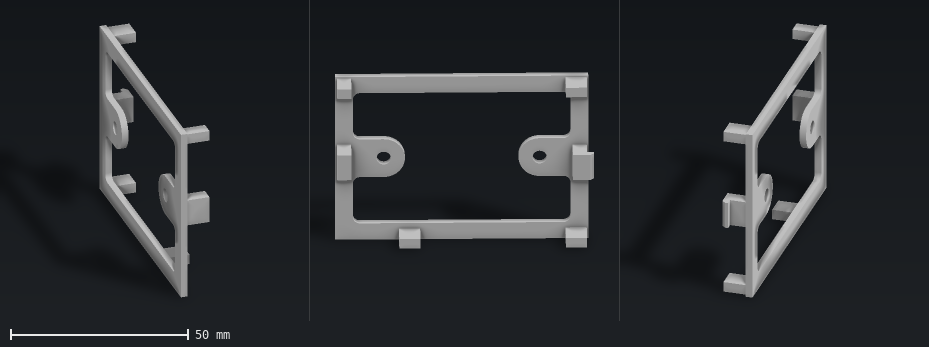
import cadquery as cq

overall_length = 73.0
overall_depth = 8.7
plate_height = 51.5
plate_thickness = 2.0
hook_overhang = 1.5
plate_length = overall_length - hook_overhang

side_rail = 5.05
top_rail = 5.1
corner_radius = 2.0
ear_radius = 6.0
ear_hole_diameter = 4.0
ear_hole_spacing = 44.0

post_length = overall_depth - plate_thickness
post_inset = 0.45
post_width = 6.0
narrow_post_width = 4.0
post_height = 3.0
bottom_post_pitch = 47.0
right_post_gap = 0.5
right_block_rise = 0.45

hook_height = 7.9
hook_thickness = 2.0
hook_chamfer = 1.0

left_edge = -plate_length / 2
left_post_x = left_edge + post_inset
right_post_x = plate_length / 2 - right_post_gap - narrow_post_width
post_level = plate_height / 2 - post_inset - post_height / 2


def plate_slab(length, height, center_x=0):
    """Slab as thick as the plate, centred on Z = 0."""
    return (
        cq.Workplane("XY")
        .box(length, plate_thickness, height, centered=(True, False, True))
        .translate((center_x, 0, 0))
    )


def ear_cylinder(diameter, center_x):
    """Cylinder through the plate thickness at the height of the ears."""
    return (
        cq.Workplane("XZ", origin=(center_x, 0, 0))
        .circle(diameter / 2)
        .extrude(-plate_thickness)
    )


def post(left_x, width, height, center_z):
    """Rectangular post standing on the back face of the plate."""
    return (
        cq.Workplane("XY")
        .box(width, post_length, height, centered=(False, False, True))
        .translate((left_x, plate_thickness, center_z))
    )


def make_plate():
    """Frame with one ear reaching in from each side."""
    window_length = plate_length - 2 * side_rail
    window = plate_slab(window_length, plate_height - 2 * top_rail)
    ear_length = (window_length - ear_hole_spacing) / 2
    for side in (-1, 1):
        hole_x = side * ear_hole_spacing / 2
        arm_x = hole_x + side * ear_length / 2
        window = window.cut(plate_slab(ear_length, 2 * ear_radius, arm_x))

    window = window.edges("|Y").edges("<X or >X").fillet(corner_radius)

    plate = plate_slab(plate_length, plate_height).cut(window)
    for side in (-1, 1):
        plate = plate.union(ear_cylinder(2 * ear_radius, side * ear_hole_spacing / 2))
    for side in (-1, 1):
        plate = plate.cut(ear_cylinder(ear_hole_diameter, side * ear_hole_spacing / 2))
    return plate


def make_hook():
    """Lip at the free end of the left block, with a chamfered lead-in."""
    tip_x = left_edge - hook_overhang
    return (
        cq.Workplane("XY", origin=(0, 0, -hook_height / 2))
        .moveTo(left_post_x, overall_depth - hook_thickness)
        .lineTo(tip_x, overall_depth - hook_thickness)
        .lineTo(tip_x, overall_depth - hook_chamfer)
        .lineTo(tip_x + hook_chamfer, overall_depth)
        .lineTo(left_post_x, overall_depth)
        .close()
        .extrude(hook_height)
    )


result = make_plate()

result = result.union(post(left_post_x, post_width, post_height, post_level))
result = result.union(post(left_post_x, post_width, post_height, -post_level))
result = result.union(post(left_post_x + bottom_post_pitch, post_width, post_height, -post_level))
result = result.union(post(right_post_x, narrow_post_width, post_height, post_level))

result = result.union(post(left_post_x, narrow_post_width, hook_height, 0))
result = result.union(post(right_post_x, narrow_post_width, hook_height, right_block_rise))
result = result.union(make_hook())